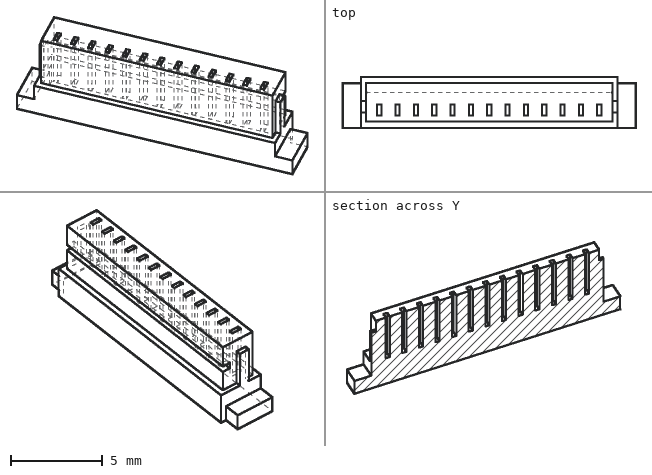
import cadquery as cq

overall_length = 16.0
overall_depth = 2.8
overall_height = 5.0

base_length = 14.0
base_height = 1.95
lug_depth = 2.45
lug_height = 1.0

housing_length = 13.44
housing_setback = 0.35
housing_depth = overall_depth - 2 * housing_setback
housing_rear = overall_depth - housing_setback

rib_front = 0.85
rib_depth = 0.62
rib_drop = 0.8

groove_depth = 0.5
groove_height = 0.38
groove_drop = 1.36

slot_count = 13
slot_row_length = 12.0
slot_width = 0.22
slot_depth_y = 0.6
slot_front = 0.69
slot_depth_z = overall_height - base_height


def block(length, depth, height, front=0.0, bottom=0.0, centre_x=0.0):
    """Box given by its X centre, front face and bottom face."""
    return (
        cq.Workplane("XY")
        .box(length, depth, height, centered=(True, False, False))
        .translate((centre_x, front, bottom))
    )


base = block(base_length, overall_depth, base_height)
lugs = block(overall_length, lug_depth, lug_height)

housing = block(housing_length, housing_depth, overall_height, front=housing_setback)
groove = block(
    housing_length,
    groove_depth,
    groove_height,
    front=housing_rear - groove_depth,
    bottom=overall_height - groove_drop - groove_height,
)
housing = housing.cut(groove)

ribs = block(base_length, rib_depth, overall_height - rib_drop, front=rib_front)

result = base.union(lugs).union(housing).union(ribs)

slot_pitch = slot_row_length / (slot_count - 1)
for index in range(slot_count):
    slot = block(
        slot_width,
        slot_depth_y,
        slot_depth_z,
        front=slot_front,
        bottom=overall_height - slot_depth_z,
        centre_x=index * slot_pitch - slot_row_length / 2,
    )
    result = result.cut(slot)